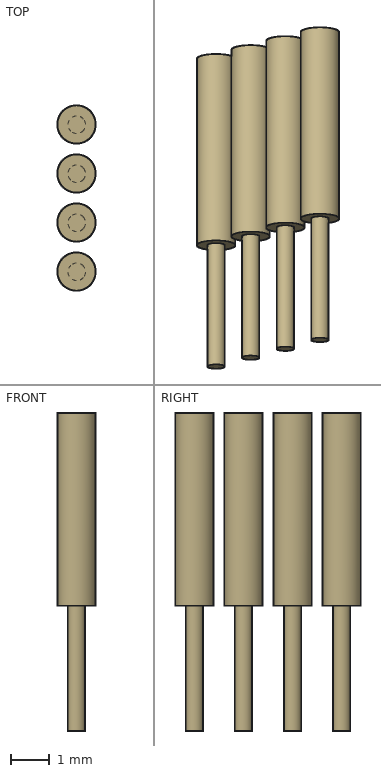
import cadquery as cq

total_height = 8.25
sleeve_length = 5.0
sleeve_diameter = 1.0
pin_diameter = 0.45
contact_count = 4
contact_pitch = 1.27

pin_length = total_height - sleeve_length


def make_sleeve(y):
    """Solid cylinder standing on top of the pin at position y."""
    return (
        cq.Workplane("XY")
        .workplane(offset=pin_length)
        .center(0, y)
        .circle(sleeve_diameter / 2)
        .extrude(sleeve_length)
    )


def make_pin(y):
    """Thin cylinder from the base plane up to the underside of the sleeve."""
    return cq.Workplane("XY").center(0, y).circle(pin_diameter / 2).extrude(pin_length)


first_y = -contact_pitch * (contact_count - 1) / 2
contact_positions = [first_y + i * contact_pitch for i in range(contact_count)]

sleeves = [make_sleeve(y).val() for y in contact_positions]
pins = [make_pin(y).val() for y in contact_positions]

result = cq.Compound.makeCompound([*sleeves, *pins])